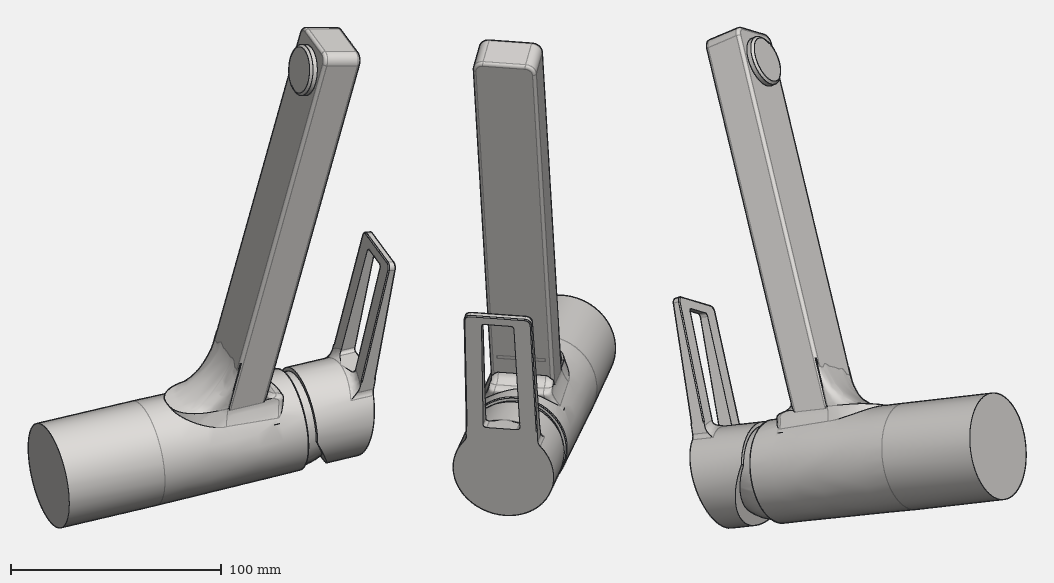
import cadquery as cq
import math


body_radius = 25.5
base_length = 49.2
body_rear_radius = 24.8
body_rear = 123.7
rim_chamfer = 0.5

joint_radius = 22.9

cap_radius = 24.3
cap_front = 128.3
cap_relief_run = 10.8

lever_top = 86.9
lever_tip_y = 172.24
back_angle = 10.3
lever_front_angle = 13.4
lever_tip_thickness = 3.6
lever_tip_half_width = 16.2
lever_base_half_width = 17.4
lever_base_z = 9.0
lever_corner_radius = 3.0
lever_edge_chamfer = 0.5
lever_root_fillet = 4.5
window_top = 82.0
window_top_half_width = 7.8
window_base_half_width = 8.9
window_corner_radius = 1.6

arm_angle = 15.0
arm_width = 30.5
arm_thickness = 19.5
arm_front_y = 85.8
arm_top_z = 214.71
arm_corner_radius = 5.0
arm_edge_fillet = 1.6

nozzle_radius = 12.2
nozzle_height = 3.5
nozzle_chamfer = 1.2
nozzle_drop = 16.6

flare_front_reach = 25.0
flare_front_top = 49.5
flare_back_reach = 10.5
flare_back_top = 31.5
flare_side_reach = 5.7
flare_side_top = 27.5
flare_bottom = 14.0
flare_crown = 25.4
flare_inset = 0.3
flare_back_corner = 3.5
flare_steps = 5
flare_squareness = 0.8
flare_front_points = 8

arm_slope = math.tan(math.radians(arm_angle))
back_slope = math.tan(math.radians(back_angle))
lever_front_slope = math.tan(math.radians(lever_front_angle))
lever_back_top = lever_top - lever_tip_thickness * back_slope


def back_y(z):
    """Y of the sloping back plane shared by the cap and the lever."""
    return lever_tip_y - (lever_back_top - z) * back_slope


def lever_front_y(z):
    """Y of the lever's front face, steeper than its back so the lever tapers."""
    return lever_tip_y - lever_tip_thickness - (lever_top - z) * lever_front_slope


def make_body():
    profile = [
        (0, 0),
        (body_radius, 0),
        (body_radius, base_length),
        (body_rear_radius, body_rear - rim_chamfer),
        (body_rear_radius - rim_chamfer, body_rear),
        (0, body_rear),
    ]
    body = cq.Workplane("XY").polyline(profile).close().revolve(360, (0, 0), (0, 1))
    joint = cq.Workplane("XY").sphere(joint_radius).translate((0, body_rear, 0))
    return body.union(joint)


def make_cap():
    outline = [
        (cap_front, cap_radius),
        (back_y(cap_radius), cap_radius),
        (back_y(-cap_radius), -cap_radius),
        (cap_front + cap_relief_run, -cap_radius),
        (cap_front, 0),
    ]
    half = cap_radius
    side = cq.Workplane("YZ").polyline(outline).close().extrude(half, both=True)
    barrel = cq.Workplane("XZ").circle(cap_radius).extrude(-lever_tip_y)
    return barrel.intersect(side)


def make_lever():
    """Tapering lever: wedge-shaped side profile crossed with a trapezoid front outline."""
    side = (
        cq.Workplane("YZ")
        .polyline([
            (lever_tip_y, lever_back_top),
            (lever_front_y(lever_top), lever_top),
            (lever_front_y(lever_base_z), lever_base_z),
            (back_y(lever_base_z), lever_base_z),
        ])
        .close()
        .extrude(lever_base_half_width, both=True)
    )
    front = trapezoid_prism(lever_base_z, lever_base_half_width, lever_top, lever_tip_half_width)
    lever = side.intersect(front)
    tip_middle = (0, lever_tip_y - lever_tip_thickness / 2, lever_top)
    tip = lever.faces(cq.selectors.NearestToPointSelector(tip_middle))
    return tip.edges("not |X").fillet(lever_corner_radius)


def make_lever_edge_trim():
    """Slivers that chamfer the front and back rims of the lever above the cap."""
    sharp = make_lever()
    middle_z = (lever_base_z + lever_top) / 2
    beveled = sharp
    for y in (lever_front_y(middle_z), back_y(middle_z)):
        rim_face = cq.selectors.NearestToPointSelector((0, y, middle_z))
        beveled = beveled.faces(rim_face).edges("not <Z").chamfer(lever_edge_chamfer)
    above_cap = trapezoid_prism(cap_radius, cap_radius, lever_top, cap_radius)
    return sharp.cut(beveled).intersect(above_cap)


def trapezoid_prism(z_low, half_low, z_high, half_high):
    """Symmetric trapezoid in XZ, extruded along Y past the lever."""
    return (
        cq.Workplane("XZ")
        .polyline([(-half_low, z_low), (half_low, z_low), (half_high, z_high), (-half_high, z_high)])
        .close()
        .extrude(-lever_tip_y - arm_thickness)
    )


def make_handle():
    handle = make_cap().union(make_lever())
    root = cq.selectors.BoxSelector(
        (-cap_radius, cap_front, lever_base_z),
        (cap_radius, back_y(cap_radius), cap_radius + 0.1),
        boundingbox=True,
    )
    handle = handle.edges(root).fillet(lever_root_fillet)
    handle = handle.cut(make_lever_edge_trim())
    window = trapezoid_prism(cap_radius, window_base_half_width, window_top, window_top_half_width)
    window = window.edges("|Y").fillet(window_corner_radius)
    return handle.cut(window)


def make_arm():
    """Arm built upright with its front face at Y = 0, then leaned back about the X axis."""
    lean = math.radians(arm_angle)
    length = arm_top_z / math.cos(lean)
    arm = (
        cq.Workplane("XY")
        .box(arm_width, arm_thickness, length, centered=(True, False, False))
        .edges("|Y and >Z")
        .fillet(arm_corner_radius)
    )
    arm = arm.faces("<Y or >Y").edges("not <Z").fillet(arm_edge_fillet)
    nozzle = (
        cq.Workplane("XZ")
        .center(0, length - nozzle_drop)
        .circle(nozzle_radius)
        .extrude(nozzle_height)
        .faces("<Y")
        .chamfer(nozzle_chamfer)
    )
    arm = arm.union(nozzle)
    axis_y = arm_front_y - body_radius * arm_slope
    return arm.rotate((0, 0, 0), (1, 0, 0), -arm_angle).translate((0, axis_y, 0))


def spread(z, top, bottom, reach):
    """Outward reach at height z of a concave quarter-ellipse fillet."""
    ratio = min(max((top - z) / (top - bottom), 0.0), 1.0)
    return reach * (1 - math.sqrt(1 - ratio ** 2))


def side_spread(z):
    """Outward reach at height z of the gentler parabolic flare on each side."""
    ratio = min(max((flare_side_top - z) / (flare_side_top - flare_bottom), 0.0), 1.0)
    return flare_side_reach * ratio ** 2


def flare_section(z):
    """Closed wire at height z: rounded back, straight sides and a domed front."""
    front = arm_front_y + (z - body_radius) * arm_slope + flare_inset
    back = front + arm_thickness / math.cos(math.radians(arm_angle)) - 2 * flare_inset
    back += spread(z, flare_back_top, body_rear_radius, flare_back_reach)
    half = arm_width / 2 - flare_inset + side_spread(z)
    dome = spread(z, flare_front_top, flare_crown, flare_front_reach) + flare_inset / 2
    points = []
    for i in range(flare_front_points + 1):
        angle = math.pi * i / flare_front_points
        across = -math.copysign(abs(math.cos(angle)) ** flare_squareness, math.cos(angle))
        ahead = math.sin(angle) ** flare_squareness
        points.append((half * across, front - dome * ahead))
    return (
        cq.Workplane("XY", origin=(0, 0, z))
        .moveTo(*points[0])
        .spline(points[1:], includeCurrent=True)
        .lineTo(half, back - flare_back_corner)
        .radiusArc((half - flare_back_corner, back), -flare_back_corner)
        .lineTo(flare_back_corner - half, back)
        .radiusArc((-half, back - flare_back_corner), -flare_back_corner)
        .close()
        .val()
    )


def make_flare():
    """Two lofts: the skirt on the flanks of the body and the sweep above its crown."""
    skirt = []
    sweep = []
    for i in range(flare_steps + 1):
        skirt.append(flare_section(flare_bottom + (flare_crown - flare_bottom) * i / flare_steps))
        rise = 1 - math.sin(math.pi / 2 * (1 - i / flare_steps))
        sweep.append(flare_section(flare_crown + (flare_front_top - flare_crown) * rise))
    lower = cq.Workplane(cq.Solid.makeLoft(skirt, False))
    upper = cq.Workplane(cq.Solid.makeLoft(sweep, False))
    return lower.union(upper)


result = make_body().union(make_handle()).union(make_arm()).union(make_flare())